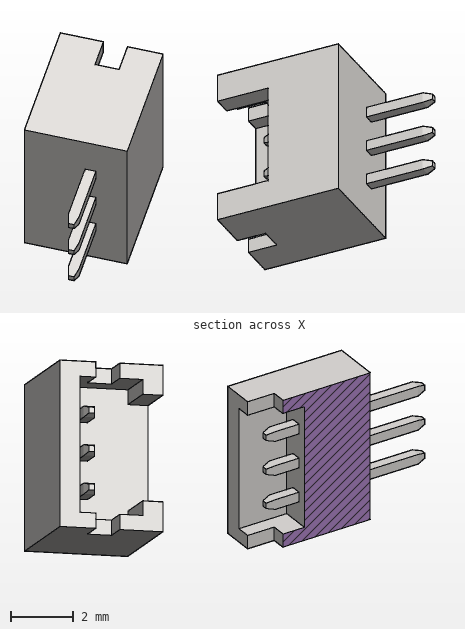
import cadquery as cq

body_width = 3.4
body_depth = 4.295
body_length = 5.4

side_wall = 0.665
end_wall = 0.495
socket_depth = 1.8

window_length = 3.45

notch_left = 1.425
notch_width = 0.79
notch_depth = 1.0

pin_count = 3
pin_pitch = 1.25
pin_size = 0.355
tip_size = 0.19
taper_length = 0.3
pin_offset = 2.185
pin_tail = 2.305
pin_recess = 0.615

overall_depth = pin_tail + body_depth
pin_length = overall_depth - pin_recess
pin_x = pin_offset - body_width / 2


def mating_end_box(x_start, width, depth, length):
    """Box reaching inward from the mating end, centred on Z."""
    box = cq.Workplane("XY").box(width, depth, length, centered=(False, False, True))
    return box.translate((x_start, overall_depth - depth, 0))


def make_housing():
    left = -body_width / 2
    body = mating_end_box(left, body_width, body_depth, body_length)
    socket = mating_end_box(
        left + side_wall, body_width - 2 * side_wall, socket_depth, body_length - 2 * end_wall
    )
    window = mating_end_box(left, side_wall, socket_depth, window_length)
    notch = mating_end_box(left + notch_left, notch_width, notch_depth, body_length)
    return body.cut(socket).cut(window).cut(notch)


def make_taper(y_base, y_tip):
    """Square frustum narrowing from the pin section to its tip."""
    base = cq.Plane(origin=(0, y_base, 0), normal=(0, y_tip - y_base, 0), xDir=(1, 0, 0))
    return (
        cq.Workplane(base)
        .rect(pin_size, pin_size)
        .workplane(offset=abs(y_tip - y_base))
        .rect(tip_size, tip_size)
        .loft(ruled=True)
    )


def make_pin():
    shank_length = pin_length - 2 * taper_length
    shank = cq.Workplane("XY").box(pin_size, shank_length, pin_size)
    shank = shank.translate((0, pin_length / 2, 0))
    front_taper = make_taper(taper_length, 0)
    back_taper = make_taper(pin_length - taper_length, pin_length)
    return shank.union(front_taper).union(back_taper)


result = make_housing()
for index in range(pin_count):
    pin_z = (index - (pin_count - 1) / 2) * pin_pitch
    result = result.union(make_pin().translate((pin_x, 0, pin_z)))